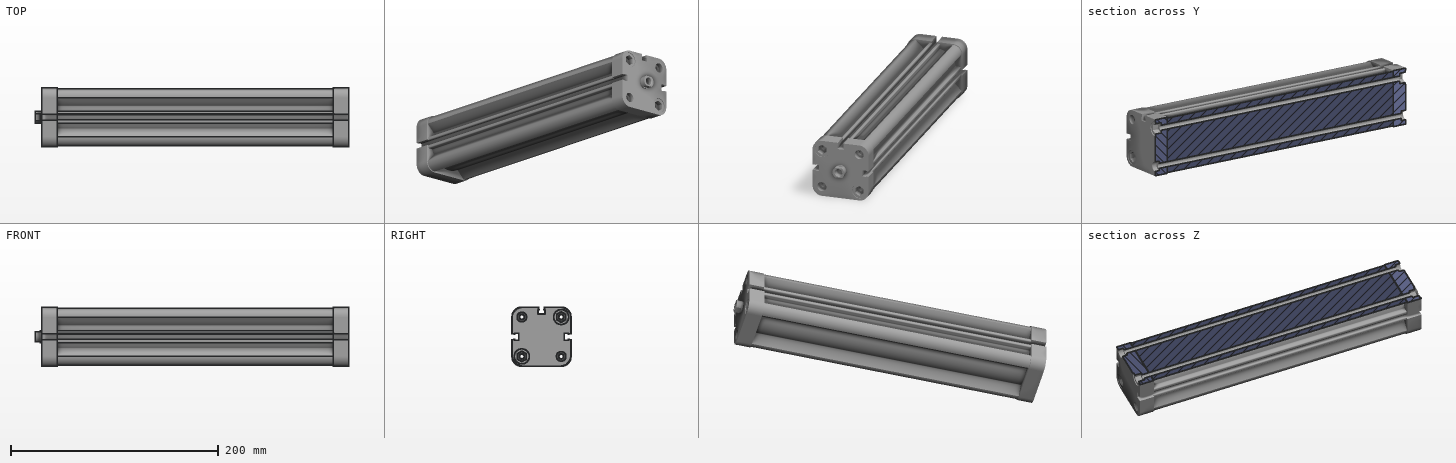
import cadquery as cq
import math


total_length = 303.0
rod_projection = 6.5
cap_length = 15.0
barrel_length = total_length - rod_projection - 2 * cap_length
barrel_start = cap_length
rear_cap_start = barrel_start + barrel_length

cap_width = 57.0
bolt_offset = 19.0
corner_radius = cap_width / 2 - bolt_offset

bolt_hole_diameter = 4.6
round_recess_diameter = 9.2
round_recess_depth = 5.0
hex_recess_depth = 7.0
hex_recess_flats = 8.8
spot_face_diameter = 14.5
spot_face_depth = 0.7

slot_width = 6.4
slot_depth = 6.5
slot_mouth_depth = 2.7
cap_mouth_width = 5.6
barrel_mouth_width = 4.8
slot_angles = (0, 90, 270)

barrel_width = 55.4
barrel_tube_radius = 22.5
barrel_lobe_radius = barrel_width / 2 - bolt_offset
rail_width = 11.4
rail_top = 26.9
rail_edge_radius = 1.0
rail_mouth_depth = rail_top - (cap_width / 2 - slot_mouth_depth)
valley_radius = 0.6

rod_diameter = 12.0
rod_flats_width = 10.0
rod_flats_length = 5.0
rod_hole_diameter = 7.0
rod_hole_depth = 12.0
rod_hole_mouth_diameter = 8.0
drill_tip_angle = 118.0

bolt_positions = [(y, z) for y in (-bolt_offset, bolt_offset) for z in (-bolt_offset, bolt_offset)]
hex_positions = [(bolt_offset, bolt_offset), (-bolt_offset, -bolt_offset)]
round_positions = [(bolt_offset, -bolt_offset), (-bolt_offset, bolt_offset)]


def section_plane(x):
    """Sketch plane across the rod axis: sketch x is Y, sketch y is Z, extrusion runs to +X."""
    return cq.Workplane("YZ", origin=(x, 0, 0))


def turned(body, angle):
    """Turn a body about the rod axis."""
    return body.rotate((0, 0, 0), (1, 0, 0), angle)


def slot_cutter(x, length, mouth_width):
    """T-slot opening to +Z."""
    top = cap_width / 2
    floor = top - slot_depth
    ledge = top - slot_mouth_depth
    return (
        section_plane(x)
        .moveTo(0, floor)
        .lineTo(slot_width / 2, floor)
        .lineTo(slot_width / 2, ledge)
        .lineTo(mouth_width / 2, ledge)
        .lineTo(mouth_width / 2, top)
        .lineTo(0, top)
        .mirrorY()
        .extrude(length)
    )


def cut_slots(body, x, length, mouth_width):
    for angle in slot_angles:
        body = body.cut(turned(slot_cutter(x, length, mouth_width), angle))
    return body


def round_holes(x, length, diameter, positions):
    """Round holes along X; a negative length runs toward -X."""
    return section_plane(x).pushPoints(positions).circle(diameter / 2).extrude(length)


def hex_recesses(x, length):
    """Hexagonal recesses with two flats parallel to the Z axis."""
    vertex_radius = hex_recess_flats / 2 / math.cos(math.radians(30))
    hexagon = cq.Sketch().regularPolygon(vertex_radius, 6)
    return section_plane(x).pushPoints(hex_positions).placeSketch(hexagon).extrude(length)


def make_cap(x, outer_face_x, inward):
    """End cap starting at x; inward is +1 or -1, the way from its outer face into the cap."""
    cap = section_plane(x).rect(cap_width, cap_width).extrude(cap_length)
    cap = cap.edges("|X").fillet(corner_radius)
    cap = cut_slots(cap, x, cap_length, cap_mouth_width)
    cap = cap.cut(round_holes(x, cap_length, bolt_hole_diameter, bolt_positions))
    round_recess_length = inward * round_recess_depth
    cap = cap.cut(round_holes(outer_face_x, round_recess_length, round_recess_diameter, round_positions))
    cap = cap.cut(hex_recesses(outer_face_x, inward * hex_recess_depth))
    return cap.cut(round_holes(outer_face_x, inward * spot_face_depth, spot_face_diameter, hex_positions))


def make_front_cap():
    cap = make_cap(0, 0, 1)
    rod_bore = section_plane(0).circle(rod_diameter / 2).extrude(cap_length)
    return cap.cut(rod_bore)


def make_rear_cap():
    return make_cap(rear_cap_start, rear_cap_start + cap_length, -1)


def barrel_lobe():
    """Corner lobe round one tie bolt: a quarter round outside, straight diagonal flanks to the middle."""
    outer = bolt_offset + barrel_lobe_radius
    arc_middle = bolt_offset + barrel_lobe_radius * math.cos(math.radians(45))
    flank_end = outer - bolt_offset
    return (
        section_plane(barrel_start)
        .moveTo(0, 0)
        .lineTo(flank_end, 0)
        .lineTo(outer, bolt_offset)
        .threePointArc((arc_middle, arc_middle), (bolt_offset, outer))
        .lineTo(0, flank_end)
        .close()
        .extrude(barrel_length)
    )


def slot_rail():
    """Raised rail on the +Z side that carries a sensor slot, with rounded edges along its two lips."""
    rail = (
        section_plane(barrel_start)
        .center(0, rail_top / 2)
        .rect(rail_width, rail_top)
        .extrude(barrel_length)
    )
    groove = (
        section_plane(barrel_start)
        .center(0, rail_top)
        .rect(barrel_mouth_width, 2 * rail_mouth_depth)
        .extrude(barrel_length)
    )
    return rail.cut(groove).faces(">Z").edges("|X").fillet(rail_edge_radius)


def is_valley_edge(edge):
    """True for the edges where the lobe flanks and the slot rails run into the tube."""
    middle = edge.Center()
    return math.hypot(middle.y, middle.z) < barrel_tube_radius + valley_radius


def make_barrel():
    barrel = section_plane(barrel_start).circle(barrel_tube_radius).extrude(barrel_length)
    for corner in range(4):
        barrel = barrel.union(turned(barrel_lobe(), 90 * corner))
    for angle in slot_angles:
        barrel = barrel.union(turned(slot_rail(), angle))
    barrel = barrel.edges("|X").filter(is_valley_edge).fillet(valley_radius)
    barrel = cut_slots(barrel, barrel_start, barrel_length, barrel_mouth_width)
    return barrel.cut(round_holes(barrel_start, barrel_length, bolt_hole_diameter, bolt_positions))


def rod_hole():
    """Blind hole in the rod end, turned about X, with a chamfered mouth and a drill-point bottom."""
    mouth_radius = rod_hole_mouth_diameter / 2
    hole_radius = rod_hole_diameter / 2
    chamfer = mouth_radius - hole_radius
    tip_length = hole_radius / math.tan(math.radians(drill_tip_angle / 2))
    return (
        cq.Workplane("XY", origin=(-rod_projection, 0, 0))
        .lineTo(0, mouth_radius)
        .lineTo(chamfer, hole_radius)
        .lineTo(rod_hole_depth, hole_radius)
        .lineTo(rod_hole_depth + tip_length, 0)
        .close()
        .revolve(360, (0, 0, 0), (1, 0, 0))
    )


def make_rod():
    """Rod end with two wrench flats on its +Z and -Z sides, seated in the front cap."""
    rod = section_plane(-rod_projection).circle(rod_diameter / 2).extrude(rod_projection + cap_length)
    flats_ring = (
        section_plane(-rod_projection)
        .rect(2 * rod_diameter, 2 * rod_diameter)
        .rect(2 * rod_diameter, rod_flats_width)
        .extrude(rod_flats_length)
    )
    return rod.cut(flats_ring).cut(rod_hole())


front_cap = make_front_cap()
rear_cap = make_rear_cap()
barrel = make_barrel()
rod = make_rod()

result = cq.Compound.makeCompound([front_cap.val(), rear_cap.val(), barrel.val(), rod.val()])